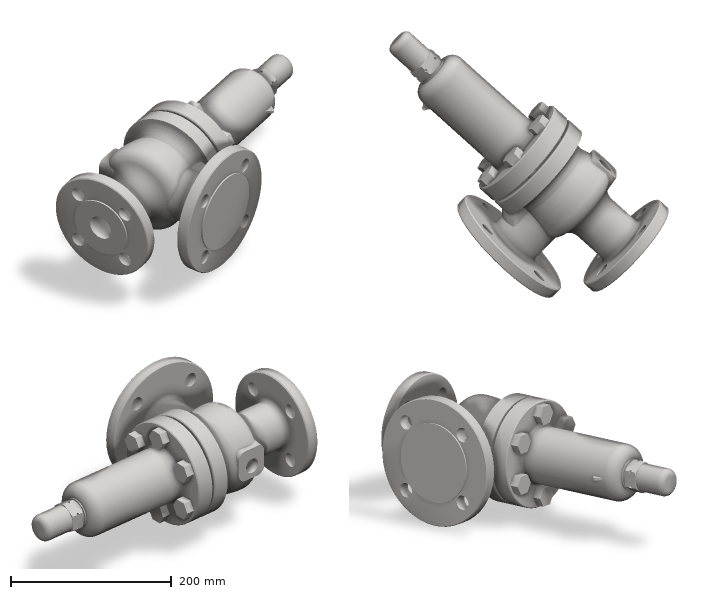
import cadquery as cq
import math


hex_sides = 6

inlet_face_y = -115.0
inlet_flange_radius = 70.0
inlet_raised_radius = 39.0
inlet_bolt_circle_radius = 50.0
inlet_pipe_radius = 31.5
inlet_bore_radius = 16.0
inlet_bore_depth = 44.2

outlet_face_x = 110.0
outlet_flange_radius = 82.5
outlet_raised_radius = 51.0
outlet_bolt_circle_radius = 62.5
outlet_pipe_radius = 33.5

flange_thickness = 17.5
raised_face_height = 2.0
flange_edge_chamfer = 1.2
flange_hole_radius = 9.2
flange_hole_angle = 45.0
flange_hole_count = 4
flange_root_fillet = 5.2

inlet_flange_back_y = inlet_face_y + flange_thickness
outlet_flange_back_x = outlet_face_x - flange_thickness

bowl_radius = 58.0
bowl_lower_y = -17.0
bowl_bottom_radius = 16.5
bowl_neck_radius = 19.5
bowl_top_radius = 52.3
bowl_top_y = 19.3
throat_top_y = 23.5
throat_fillet = 11.5

cover_radius = 68.7
body_cover_bottom_y = throat_top_y + throat_fillet
body_cover_top_y = 56.0
cover_chamfer = 1.2

rib_half_width = 27.5
rib_flare = 4.0
rib_top_y = 44.2
rib_elbow_x = 64.0

lug_face_x = -58.5
lug_top_y = 7.2
lug_center_z = 4.0
lug_height = 41.0
lug_width = 43.0
lug_corner_radius = 10.0
lug_draft = 9.0
lug_length = 24.0
lug_hole_radius = 10.0
lug_hole_y = -14.0
lug_hole_depth = 11.0

bonnet_bottom_y = 59.0
bonnet_cover_top_y = 82.5
barrel_radius = 36.5
barrel_root_fillet = 3.5
barrel_dome_radius = 15.0
barrel_top_y = 225.0
collar_radius = 19.5
collar_top_y = 226.7

eyelet_x = 41.5
eyelet_y = 200.5
eyelet_radius = 3.0
eyelet_hole_radius = 1.0
eyelet_base_half = 7.0
eyelet_thickness = 3.2

cap_radius = 17.5
cap_top_y = 287.0
cap_fillet = 7.5
hex_bottom_y = 228.7
hex_top_y = 246.0
hex_across_flats = 36.0
hex_corner_chamfer = 1.5
seal_hole_radius = 2.0
seal_hole_depth = 4.0

bolt_count = 6
bolt_circle_radius = 53.0
bolt_first_angle = 30.0
bolt_head_height = 11.0
bolt_head_across_flats = 23.5
bolt_shank_radius = 7.2
bolt_bottom_y = 40.0


def corner_diameter(across_flats):
    """Across-corners size of a hexagon."""
    return across_flats / math.cos(math.pi / hex_sides)


def y_plane(y):
    """Workplane at height y facing +Y, with local x along +X and local y along -Z."""
    return cq.Workplane(cq.Plane(origin=(0, y, 0), xDir=(1, 0, 0), normal=(0, 1, 0)))


def y_cylinder(radius, bottom_y, top_y):
    return y_plane(bottom_y).circle(radius).extrude(top_y - bottom_y)


def pipe_flange(plane, radius, raised_radius, bolt_circle_radius):
    """Drilled flange with a raised face; the plane lies on the sealing face, facing outward."""
    rim = (
        cq.Workplane(plane).workplane(offset=-flange_thickness)
        .circle(radius).extrude(flange_thickness - raised_face_height)
        .edges().chamfer(flange_edge_chamfer)
    )
    raised_face = cq.Workplane(plane).circle(raised_radius).extrude(-flange_thickness)
    holes = (
        cq.Workplane(plane)
        .polarArray(bolt_circle_radius, flange_hole_angle, 360, flange_hole_count)
        .circle(flange_hole_radius).extrude(-flange_thickness)
    )
    return rim.union(raised_face).cut(holes)


def bolt_holes(bottom_y, top_y):
    return (
        y_plane(bottom_y)
        .polarArray(bolt_circle_radius, bolt_first_angle, 360, bolt_count)
        .circle(bolt_shank_radius).extrude(top_y - bottom_y)
    )



def body_core():
    """Inlet pipe, bowl and throat turned about the Y axis."""
    convex_center_r = bowl_radius - bowl_bottom_radius
    concave_center_r = inlet_pipe_radius + bowl_neck_radius
    center_gap = bowl_bottom_radius + bowl_neck_radius
    swing = math.acos((concave_center_r - convex_center_r) / center_gap)
    neck_y = bowl_lower_y - center_gap * math.sin(swing)

    def convex_point(angle):
        return (convex_center_r + bowl_bottom_radius * math.cos(angle),
                bowl_lower_y - bowl_bottom_radius * math.sin(angle))

    def concave_point(angle):
        return (concave_center_r - bowl_neck_radius * math.cos(angle),
                neck_y + bowl_neck_radius * math.sin(angle))

    root = flange_root_fillet
    root_mid = root * (1 - math.sqrt(0.5))
    throat_mid = throat_fillet * (1 - math.sqrt(0.5))
    profile = (
        cq.Workplane("XY")
        .moveTo(0, inlet_flange_back_y)
        .lineTo(inlet_pipe_radius + root, inlet_flange_back_y)
        .threePointArc((inlet_pipe_radius + root_mid, inlet_flange_back_y + root_mid),
                       (inlet_pipe_radius, inlet_flange_back_y + root))
        .lineTo(inlet_pipe_radius, neck_y)
        .threePointArc(concave_point(swing / 2), concave_point(swing))
        .threePointArc(convex_point(swing / 2), convex_point(0))
        .tangentArcPoint((bowl_top_radius, bowl_top_y), relative=False)
        .lineTo(bowl_top_radius, throat_top_y)
        .threePointArc((bowl_top_radius + throat_mid, body_cover_bottom_y - throat_mid),
                       (bowl_top_radius + throat_fillet, body_cover_bottom_y))
        .lineTo(0, body_cover_bottom_y)
        .close()
    )
    return profile.revolve(360, (0, 0, 0), (0, 1, 0))


def body_cover_flange():
    return (
        y_cylinder(cover_radius, body_cover_bottom_y, body_cover_top_y)
        .faces(">Y").edges().chamfer(cover_chamfer)
    )


def outlet_pipe():
    """Outlet pipe turned about the X axis, flaring into its flange."""
    root = flange_root_fillet
    root_mid = root * (1 - math.sqrt(0.5))
    profile = (
        cq.Workplane("XY")
        .lineTo(0, outlet_pipe_radius)
        .lineTo(outlet_flange_back_x - root, outlet_pipe_radius)
        .threePointArc((outlet_flange_back_x - root_mid, outlet_pipe_radius + root_mid),
                       (outlet_flange_back_x, outlet_pipe_radius + root))
        .lineTo(outlet_flange_back_x, 0)
        .close()
    )
    return profile.revolve(360, (0, 0, 0), (1, 0, 0))


def outlet_rib():
    """Rib with hollow flanks under the cover flange, its end rounded along a 45 degree slope."""
    rib_length = rib_elbow_x + outlet_pipe_radius
    half_section = (
        cq.Workplane("YZ")
        .lineTo(0, rib_half_width)
        .lineTo(bowl_top_y, rib_half_width)
        .tangentArcPoint((body_cover_bottom_y, rib_half_width + rib_flare), relative=False)
        .lineTo(rib_top_y, rib_half_width + rib_flare)
        .lineTo(rib_top_y, 0)
        .close()
        .extrude(rib_length)
    )
    flared_bar = half_section.union(half_section.mirror("XY"))
    slope = cq.Plane(origin=(rib_elbow_x, 0, 0), xDir=(0, 0, 1), normal=(-1, 1, 0))
    sloping_rod = cq.Workplane(slope).circle(outlet_pipe_radius).extrude(rib_length)
    return flared_bar.intersect(sloping_rod)


def plug_lug():
    """Rounded block whose lower side slopes away from the outer face into the body."""
    to_root = cq.Location(cq.Vector(0, 0, lug_length))
    root_height = lug_height + lug_length * math.tan(math.radians(lug_draft))

    def outline(height):
        center = cq.Location(cq.Vector(lug_top_y - height / 2, lug_center_z))
        return cq.Sketch().rect(height, lug_width).vertices().fillet(lug_corner_radius).moved(center)

    return (
        cq.Workplane("YZ", origin=(lug_face_x, 0, 0))
        .placeSketch(outline(lug_height), outline(root_height).moved(to_root))
        .loft()
    )


def make_body():
    inlet_plane = cq.Plane(origin=(0, inlet_face_y, 0), xDir=(1, 0, 0), normal=(0, -1, 0))
    outlet_plane = cq.Plane(origin=(outlet_face_x, 0, 0), xDir=(0, 1, 0), normal=(1, 0, 0))
    inlet_flange = pipe_flange(
        inlet_plane, inlet_flange_radius, inlet_raised_radius, inlet_bolt_circle_radius)
    outlet_flange = pipe_flange(
        outlet_plane, outlet_flange_radius, outlet_raised_radius, outlet_bolt_circle_radius)
    inlet_bore = cq.Workplane(inlet_plane).circle(inlet_bore_radius).extrude(-inlet_bore_depth)
    lug_hole = (
        cq.Workplane("YZ", origin=(lug_face_x, lug_hole_y, 0))
        .circle(lug_hole_radius).extrude(lug_hole_depth)
    )
    return (
        body_core()
        .union(body_cover_flange())
        .union(outlet_pipe())
        .union(outlet_rib())
        .union(plug_lug())
        .union(inlet_flange)
        .union(outlet_flange)
        .cut(inlet_bore)
        .cut(lug_hole)
        .cut(bolt_holes(bolt_bottom_y, body_cover_top_y))
    )



def seal_eyelet():
    """Small drilled tab on the +X side of the barrel for a sealing wire."""
    plate_bottom = cq.Workplane("XY", origin=(0, 0, -eyelet_thickness / 2))
    web = (
        plate_bottom
        .moveTo(barrel_radius - eyelet_radius, eyelet_y - eyelet_base_half)
        .lineTo(barrel_radius, eyelet_y - eyelet_base_half)
        .lineTo(eyelet_x, eyelet_y - eyelet_radius)
        .lineTo(eyelet_x, eyelet_y + eyelet_radius)
        .lineTo(barrel_radius, eyelet_y + eyelet_base_half)
        .lineTo(barrel_radius - eyelet_radius, eyelet_y + eyelet_base_half)
        .close()
        .extrude(eyelet_thickness)
    )
    eye = plate_bottom.center(eyelet_x, eyelet_y).circle(eyelet_radius).extrude(eyelet_thickness)
    hole = plate_bottom.center(eyelet_x, eyelet_y).circle(eyelet_hole_radius).extrude(eyelet_thickness)
    return web.union(eye).cut(hole)


def make_bonnet():
    cover = y_cylinder(cover_radius, bonnet_bottom_y, bonnet_cover_top_y).edges().chamfer(cover_chamfer)
    root_mid = barrel_root_fillet * (1 - math.sqrt(0.5))
    dome_mid = barrel_dome_radius * (1 - math.sqrt(0.5))
    barrel = (
        cq.Workplane("XY")
        .moveTo(0, bonnet_cover_top_y)
        .lineTo(barrel_radius + barrel_root_fillet, bonnet_cover_top_y)
        .threePointArc((barrel_radius + root_mid, bonnet_cover_top_y + root_mid),
                       (barrel_radius, bonnet_cover_top_y + barrel_root_fillet))
        .lineTo(barrel_radius, barrel_top_y - barrel_dome_radius)
        .threePointArc((barrel_radius - dome_mid, barrel_top_y - dome_mid),
                       (barrel_radius - barrel_dome_radius, barrel_top_y))
        .lineTo(collar_radius, barrel_top_y)
        .lineTo(collar_radius, collar_top_y)
        .lineTo(0, collar_top_y)
        .close()
        .revolve(360, (0, 0, 0), (0, 1, 0))
    )
    return (
        cover.union(barrel)
        .union(seal_eyelet())
        .cut(bolt_holes(bonnet_bottom_y, bonnet_cover_top_y))
    )



def make_cap():
    corner_radius = corner_diameter(hex_across_flats) / 2
    stem = y_cylinder(cap_radius, collar_top_y, cap_top_y).faces(">Y").edges().fillet(cap_fillet)
    corner_trim = y_cylinder(corner_radius, hex_bottom_y, hex_top_y).edges().chamfer(hex_corner_chamfer)
    hexagon = (
        y_plane(hex_bottom_y)
        .transformed(rotate=(0, 0, 90))
        .polygon(hex_sides, 2 * corner_radius).extrude(hex_top_y - hex_bottom_y)
        .intersect(corner_trim)
    )
    cap = stem.union(hexagon)
    hole_y = (hex_bottom_y + hex_top_y) / 2
    for corner in range(hex_sides):
        hole = (
            cq.Workplane("XY", origin=(0, hole_y, corner_radius))
            .circle(seal_hole_radius).extrude(-seal_hole_depth)
            .rotate((0, 0, 0), (0, 1, 0), 360 / hex_sides * corner)
        )
        cap = cap.cut(hole)
    return cap



def make_bolt(angle):
    """Hexagon bolt standing at the given angle on the cover bolt circle."""
    x = bolt_circle_radius * math.cos(math.radians(angle))
    z = bolt_circle_radius * math.sin(math.radians(angle))
    shank = y_cylinder(bolt_shank_radius, bolt_bottom_y, bonnet_cover_top_y)
    head = (
        y_plane(bonnet_cover_top_y)
        .polygon(hex_sides, corner_diameter(bolt_head_across_flats)).extrude(bolt_head_height)
    )
    return shank.union(head).translate((x, 0, z))


body = make_body()
bonnet = make_bonnet()
cap = make_cap()
bolts = [make_bolt(bolt_first_angle + index * 360 / bolt_count) for index in range(bolt_count)]

result = cq.Compound.makeCompound([
    body.val(),
    bonnet.val(),
    cap.val(),
    *[bolt.val() for bolt in bolts],
])